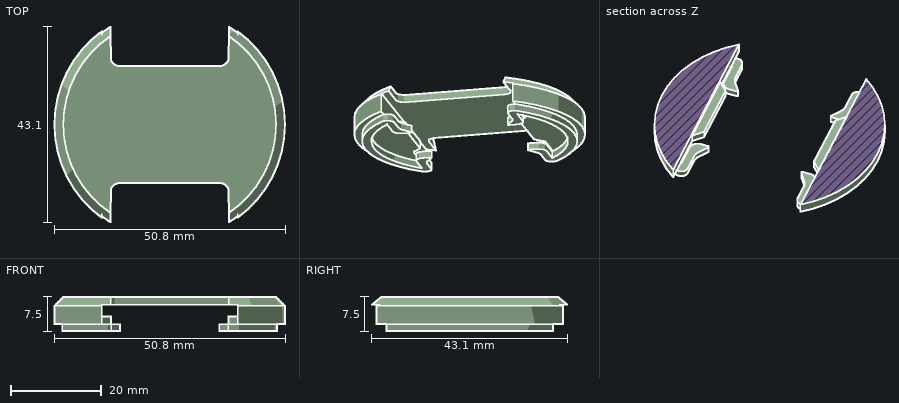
import cadquery as cq
import math

outer_radius = 25.4
total_height = 7.5
bevel = 2.0
plate_thickness = 1.75
clip_thickness = 1.5

notch_half_width = 13.0
notch_floor_y = 12.9
notch_fillet = 2.0

wall_inner_x = 14.95
rail_top_z = 3.25
rail_root_half_length = 8.75
rail_tip_half_length = 6.7

clip_radius = 23.7
clip_band = 2.05
clip_end_y = 18.35
clip_end_x = 14.35
arm_inner_x = 12.9
arm_outer_x = 14.8
arm_straight_end_y = 16.85
band_end_x = 15.35

hook_tip_x = 10.65
hook_end_y = 8.9
hook_root_x = 12.45
hook_root_y = 11.45
hook_blend_y = 12.95
hook_blend_x = 12.8
hook_blend_mid_y = 12.15
hook_tip_fillet = 0.25

plate_bottom_z = total_height - plate_thickness
clear_size = 2 * outer_radius


def make_body():
    """Bevelled disc with the middle channel and both notches removed."""
    disc = cq.Workplane("XY").workplane(offset=clip_thickness)
    disc = disc.circle(outer_radius).extrude(total_height - clip_thickness)
    disc = disc.faces(">Z").chamfer(bevel)
    channel = cq.Workplane("XY").box(
        2 * wall_inner_x, 2 * clear_size, plate_bottom_z, centered=(True, True, False)
    )
    body = disc.cut(channel)
    for side in (-1, 1):
        notch = cq.Workplane("XY").center(0, side * (notch_floor_y + clear_size / 2))
        notch = notch.rect(2 * notch_half_width, clear_size).extrude(total_height)
        floor_edges = "|Z and <Y" if side > 0 else "|Z and >Y"
        body = body.cut(notch.edges(floor_edges).fillet(notch_fillet))
    return body


def make_rail():
    """Tapered ledge on the inner face of the right wall."""
    return (
        cq.Workplane("XY")
        .workplane(offset=clip_thickness)
        .moveTo(wall_inner_x, -rail_root_half_length)
        .lineTo(arm_inner_x, -rail_tip_half_length)
        .lineTo(arm_inner_x, rail_tip_half_length)
        .lineTo(wall_inner_x, rail_root_half_length)
        .close()
        .extrude(rail_top_z - clip_thickness)
    )


def make_clip():
    """Right-hand crescent band whose two rounded ends return as hooked arms."""
    band_end_y = math.sqrt(clip_radius**2 - band_end_x**2)
    outline = (
        cq.Workplane("XY")
        .moveTo(arm_inner_x, -arm_straight_end_y)
        .threePointArc((clip_end_x, -clip_end_y), (band_end_x, -band_end_y))
        .threePointArc((clip_radius, 0), (band_end_x, band_end_y))
        .threePointArc((clip_end_x, clip_end_y), (arm_inner_x, arm_straight_end_y))
        .close()
        .extrude(clip_thickness)
    )
    inner_radius = clip_radius - clip_band
    pocket_end_y = math.sqrt(inner_radius**2 - arm_outer_x**2)
    pocket = (
        cq.Workplane("XY")
        .moveTo(arm_outer_x, -pocket_end_y)
        .threePointArc((inner_radius, 0), (arm_outer_x, pocket_end_y))
        .close()
        .extrude(clip_thickness)
    )
    mouth = cq.Workplane("XY").rect(2 * arm_outer_x, 2 * hook_blend_y).extrude(clip_thickness)
    clip = outline.cut(pocket).cut(mouth)

    head_radius = arm_outer_x - arm_inner_x
    hook = (
        cq.Workplane("XY")
        .moveTo(hook_tip_x, hook_end_y)
        .lineTo(arm_inner_x, hook_end_y)
        .tangentArcPoint((arm_outer_x, hook_end_y + head_radius), relative=False)
        .lineTo(arm_outer_x, hook_blend_y)
        .lineTo(arm_inner_x, hook_blend_y)
        .threePointArc((hook_blend_x, hook_blend_mid_y), (hook_root_x, hook_root_y))
        .close()
        .extrude(clip_thickness)
        .edges("|Z and <X")
        .fillet(hook_tip_fillet)
    )
    return clip.union(hook).union(hook.mirror("XZ"))


side_parts = make_clip().union(make_rail())
result = make_body().union(side_parts).union(side_parts.mirror("YZ"))